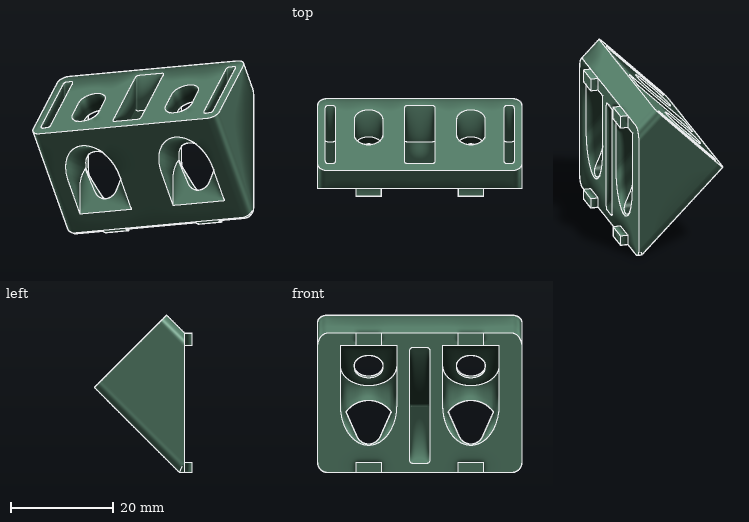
import cadquery as cq
import math

WIDTH = 40.0
HEIGHT = 30.8
LEG = 20.0
APEX_Y = 3.5
CORNER_R = 2.0
DIAG = math.sqrt(0.5)

BOLT_X = 10.0
BORE_R = 5.5
BOLT_R = 2.8
INNER_TRAVEL = 0.55
OUTER_TRAVEL = 4.05
BOLT_WALL = 4.0

TAB_WIDTH = 5.0
TAB_DEPTH = 1.5
UPPER_TAB_HEIGHT = 2.5
LOWER_TAB_HEIGHT = 2.0

WINDOW_BOTTOM = 5.6
WINDOW_TOP = 14.1
WINDOW_HALF_WIDTH = 4.4
WINDOW_R = 2.5
ARCH_R = BORE_R
ARCH_START_Y = 4.0

POCKET_MARGIN = 2.0
POCKET_DEPTH = 5.0
MIDDLE_POCKET_WIDTH = 6.0
SIDE_POCKET_WIDTH = 2.0
SIDE_POCKET_GAP = 1.5
RIB = 2.0
SLOT_WIDTH = 4.0
POCKET_R = 0.5

BACK_Y = APEX_Y + LEG * DIAG
UPPER_SUM = APEX_Y + HEIGHT
LOWER_DIFF = UPPER_SUM - 2 * BACK_Y
FRONT_TOP = HEIGHT - APEX_Y
ARCH_SPRING_Z = WINDOW_TOP - ARCH_R
WINDOW_SHOULDER = ARCH_SPRING_Z + math.sqrt(ARCH_R**2 - WINDOW_HALF_WIDTH**2)
CEILING = FRONT_TOP - UPPER_TAB_HEIGHT
MID_Y = (APEX_Y + BACK_Y) / 2
MID_Z = UPPER_SUM - MID_Y


def leg_plane(depth, x=0.0):
    """Plane parallel to the upper leg face; its local y runs down the slope."""
    inset = depth * DIAG
    return cq.Plane(origin=(x, MID_Y - inset, MID_Z - inset), xDir=(1, 0, 0), normal=(0, DIAG, DIAG))


def side_prism(points, width, x=0.0):
    """Prism across X with a (y, z) outline, centred on x."""
    outline = cq.Workplane("YZ", origin=(x, 0, 0)).polyline(points).close()
    return outline.extrude(width / 2, both=True)


def front_box(width, y_start, y_end, z_low, z_high, x=0.0):
    box = cq.Workplane("XY").box(width, y_end - y_start, z_high - z_low, centered=(True, False, False))
    return box.translate((x, y_start, z_low))


def make_body():
    wedge = cq.Workplane(leg_plane(0)).rect(WIDTH, LEG).extrude(-2 * LEG).edges("|(0,1,1)").fillet(CORNER_R)
    envelope = front_box(WIDTH, 0, BACK_Y, 0, HEIGHT).edges("|Y and <Z").fillet(CORNER_R)
    return wedge.intersect(envelope)


def bolt_channel(x):
    """Round bolt-head bore, opened upward and capped by a level ceiling."""
    plane = leg_plane(BOLT_WALL, x)
    bore = cq.Workplane(plane).circle(BORE_R).extrude(-LEG)
    opening = cq.Workplane(plane).center(0, -LEG / 2).rect(2 * BORE_R, LEG).extrude(-LEG)
    return bore.union(opening).intersect(front_box(WIDTH, -LEG, BACK_Y, -LEG, CEILING, x))


def bolt_hole(x):
    """Slotted bolt hole that lengthens down the slope on its way out."""
    hole = cq.Workplane(leg_plane(BOLT_WALL, x))
    hole = hole.center(0, INNER_TRAVEL / 2).slot2D(2 * BOLT_R + INNER_TRAVEL, 2 * BOLT_R, 90)
    hole = hole.workplane(offset=BOLT_WALL).center(0, (OUTER_TRAVEL - INNER_TRAVEL) / 2)
    return hole.slot2D(2 * BOLT_R + OUTER_TRAVEL, 2 * BOLT_R, 90).loft(ruled=True)


def lower_window(x):
    """Level fan-shaped opening through the lower leg, with a round bottom."""
    centre_z = WINDOW_BOTTOM + WINDOW_R
    rise = WINDOW_SHOULDER - centre_z
    reach = math.hypot(WINDOW_HALF_WIDTH, rise)
    tangent_angle = math.atan2(rise, WINDOW_HALF_WIDTH) - math.acos(WINDOW_R / reach)
    tangent_x = WINDOW_R * math.cos(tangent_angle)
    tangent_z = centre_z + WINDOW_R * math.sin(tangent_angle)
    return (
        cq.Workplane("XZ", origin=(x, 0, 0))
        .moveTo(-WINDOW_HALF_WIDTH, WINDOW_SHOULDER)
        .threePointArc((0, WINDOW_TOP), (WINDOW_HALF_WIDTH, WINDOW_SHOULDER))
        .lineTo(tangent_x, tangent_z)
        .threePointArc((0, WINDOW_BOTTOM), (-tangent_x, tangent_z))
        .close()
        .extrude(-BACK_Y)
    )


def arch_recess(x):
    """Round-topped recess that widens the window towards the lower leg face."""
    return (
        cq.Workplane("XZ", origin=(x, ARCH_START_Y, 0))
        .moveTo(-ARCH_R, 0)
        .lineTo(-ARCH_R, ARCH_SPRING_Z)
        .threePointArc((0, WINDOW_TOP), (ARCH_R, ARCH_SPRING_Z))
        .lineTo(ARCH_R, 0)
        .close()
        .extrude(-BACK_Y)
    )


def leg_pocket(x, width):
    """Pocket with an upright front wall, a sloping floor and a level floor."""
    front_y = APEX_Y + POCKET_MARGIN * DIAG
    back_y = BACK_Y - POCKET_MARGIN * DIAG
    floor_z = UPPER_SUM - back_y
    floor_sum = UPPER_SUM - 2 * POCKET_DEPTH * DIAG
    outline = [
        (front_y, HEIGHT),
        (front_y, floor_sum - front_y),
        (floor_sum - floor_z, floor_z),
        (back_y + LEG, floor_z),
        (back_y + LEG, HEIGHT),
    ]
    pocket = side_prism(outline, width, x)
    return pocket.faces("<X or >X").edges("not(>Y or >Z)").fillet(POCKET_R)


def front_slot():
    """V-shaped slot in the front, leaving even walls towards the legs."""
    upper_sum = UPPER_SUM - 2 * (POCKET_DEPTH + RIB) * DIAG
    lower_diff = LOWER_DIFF + 2 * RIB * DIAG
    root_y = (upper_sum - lower_diff) / 2
    outline = [
        (-LEG, lower_diff - LEG),
        (root_y, root_y + lower_diff),
        (-LEG, upper_sum + LEG),
    ]
    slot = side_prism(outline, SLOT_WIDTH)
    slot = slot.edges("not(<Y)").fillet(POCKET_R)
    mouth = front_box(SLOT_WIDTH, -LEG, BACK_Y, lower_diff, upper_sum).edges("|Y").fillet(POCKET_R)
    return slot.intersect(mouth)


def tabs(x):
    lower = front_box(TAB_WIDTH, -TAB_DEPTH, 0, 0, LOWER_TAB_HEIGHT, x)
    upper = front_box(TAB_WIDTH, -TAB_DEPTH, 0, CEILING, FRONT_TOP, x)
    return lower, upper


result = make_body()
for bolt_x in (-BOLT_X, BOLT_X):
    for cutter in (bolt_channel, bolt_hole, lower_window, arch_recess):
        result = result.cut(cutter(bolt_x))
    for tab in tabs(bolt_x):
        result = result.union(tab)

side_x = WIDTH / 2 - SIDE_POCKET_GAP - SIDE_POCKET_WIDTH / 2
result = result.cut(leg_pocket(0, MIDDLE_POCKET_WIDTH))
for pocket_x in (-side_x, side_x):
    result = result.cut(leg_pocket(pocket_x, SIDE_POCKET_WIDTH))
result = result.cut(front_slot())